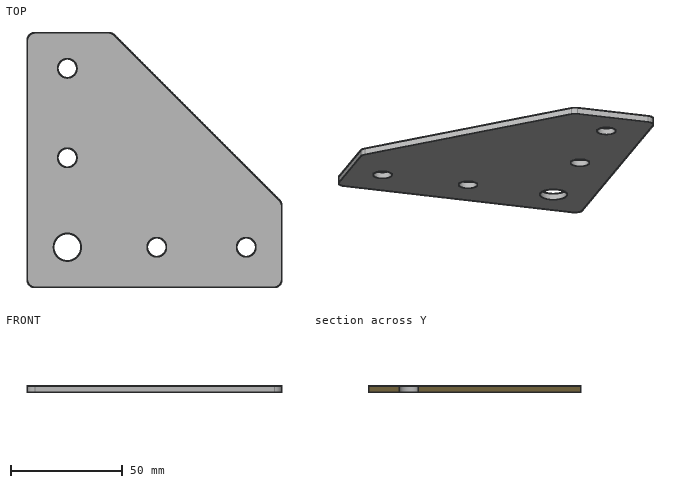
import cadquery as cq

side = 114.0
thickness = 3.0
arm_end_width = 38.0
corner_radius = 3.5

edge_distance = 18.0
hole_pitch = 40.0
small_hole_diameter = 8.4
corner_hole_diameter = 12.2


def make_plate():
    """Square plate with one corner cut at 45 degrees and all corners rounded."""
    outline = [
        (0, 0),
        (side, 0),
        (side, arm_end_width),
        (arm_end_width, side),
        (0, side),
    ]
    plate = cq.Workplane("XY").polyline(outline).close().extrude(thickness)
    return plate.edges("|Z").fillet(corner_radius)


def drill(plate, centers, diameter):
    """Cut round through holes at the given centers."""
    cutters = cq.Workplane("XY").pushPoints(centers).circle(diameter / 2).extrude(thickness)
    return plate.cut(cutters)


corner_hole_center = (edge_distance, edge_distance)
small_hole_centers = []
for step in (1, 2):
    along_arm = edge_distance + step * hole_pitch
    small_hole_centers.append((along_arm, edge_distance))
    small_hole_centers.append((edge_distance, along_arm))

result = make_plate()
result = drill(result, [corner_hole_center], corner_hole_diameter)
result = drill(result, small_hole_centers, small_hole_diameter)